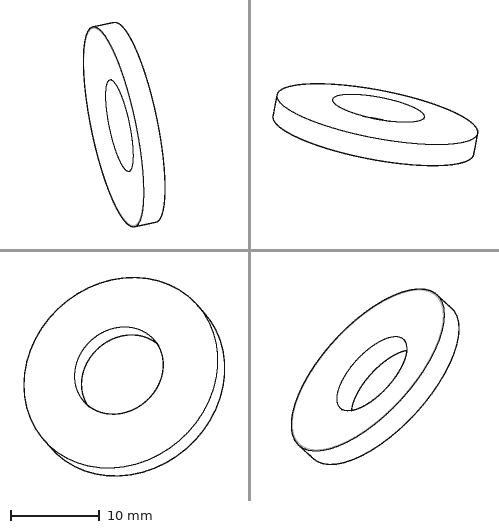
import cadquery as cq

outer_diameter = 23
bore_diameter = 10.5
overall_height = 3.2
rim_height = 2.5
seat_width = 0.15
hollow_depth = 0.7

outer_radius = outer_diameter / 2
bore_radius = bore_diameter / 2
hollow_radius = outer_radius - seat_width

section = (
    cq.Workplane("XY")
    .moveTo(bore_radius, hollow_depth)
    .lineTo(hollow_radius, 0)
    .lineTo(outer_radius, 0)
    .lineTo(outer_radius, rim_height)
    .lineTo(bore_radius, overall_height)
    .close()
)

result = section.revolve(360, (0, 0, 0), (0, 1, 0))